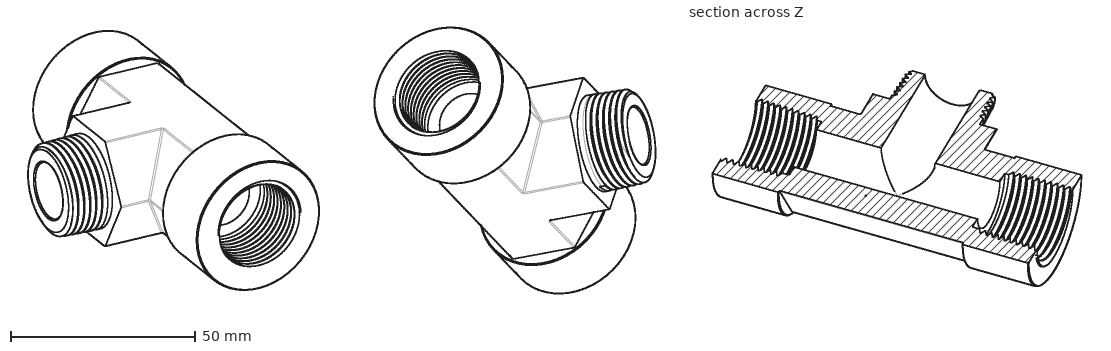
import cadquery as cq
import math

run_length = 93.0
collar_diameter = 38.0
collar_length = 19.5
collar_chamfer = 0.3
hex_across_flats = 31.7
hex_fillet = 0.5
hex_branch_length = 27.0
branch_reach = 39.57
bore_diameter = 15.8
bore_chamfer = 0.4

pitch = 1.81
taper_angle = math.degrees(math.atan(1 / 32))
groove_width = 0.95 * pitch
groove_overlap = 0.2

stub_diameter = 26.6
stub_tip_diameter = 23.1
stub_tip_chamfer_length = 1.2
neck_length = 1.6
male_groove_depth = 1.3
male_groove_start = 1.81

socket_mouth_diameter = 23.9
socket_depth = collar_length
female_groove_depth = 1.5
female_groove_lead = 0.6
female_groove_end_gap = 1.4

run_half = run_length / 2
hex_run_length = run_length - 2 * collar_length
hex_across_corners = hex_across_flats / math.cos(math.pi / 6)
taper = math.tan(math.radians(taper_angle))


def cylinder(plane, diameter, length):
    return cq.Workplane(plane).circle(diameter / 2).extrude(length)


def turned(profile):
    """Solid turned about Y; the profile is (radius, y) and is closed along the axis."""
    outline = [(0, profile[0][1])] + profile + [(0, profile[-1][1])]
    return cq.Workplane("XY").polyline(outline).close().revolve(360, (0, 0, 0), (0, 1, 0))


def hex_bar(plane, length):
    """Hexagonal bar with two of its corners on the local X axis."""
    return cq.Workplane(plane).polygon(6, hex_across_corners).extrude(length)


def thread_groove(plane, radius, length, depth, angle):
    """Right-handed helical V-groove along the plane normal, starting on the local X axis.

    radius is the open side of the V; a positive depth cuts outward and a negative one inward.
    """
    half_width = groove_width / 2
    overlap = math.copysign(groove_overlap, depth)
    open_half_width = half_width * (1 + groove_overlap / abs(depth))
    open_half_width = min(open_half_width, 0.49 * pitch)
    helix = cq.Wire.makeHelix(pitch, length, radius, angle=angle)
    groove = (
        cq.Workplane("XZ")
        .polyline([
            (radius - overlap, -open_half_width),
            (radius - overlap, open_half_width),
            (radius + depth, 0),
        ])
        .close()
        .sweep(cq.Workplane(helix), isFrenet=True)
    )
    return cq.Workplane(groove.val().moved(cq.Location(plane)))


def body():
    run = hex_bar(cq.Plane((-hex_run_length / 2, 0, 0), (0, 1, 0), (1, 0, 0)), hex_run_length)
    branch = hex_bar(cq.Plane((0, 0, 0), (1, 0, 0), (0, -1, 0)), hex_branch_length)
    tee = run.union(branch)
    valley_zone = cq.selectors.BoxSelector(
        (-hex_across_corners / 2, -hex_across_corners / 2, -hex_across_flats / 2),
        (hex_across_corners / 2, 0, hex_across_flats / 2),
    )
    valleys = tee.edges("not(|X or |Y or |Z)").edges(valley_zone)
    tee = valleys.fillet(hex_fillet)
    long_edges = tee.edges("|X or |Y").edges("not(<X or >X or <Y)")
    tee = long_edges.fillet(hex_fillet)
    for side in (-1, 1):
        mouth = cq.Plane((side * run_half, 0, 0), (0, -1, 0), (-side, 0, 0))
        collar = cylinder(mouth, collar_diameter, collar_length).faces("<X or >X").chamfer(collar_chamfer)
        tee = tee.union(collar)
    return tee


def male_stub():
    """Threaded stub: a grooved taper, trimmed to length with a chamfered tip."""
    stub_radius = stub_diameter / 2
    neck_end = hex_branch_length + neck_length
    blank_end = branch_reach + pitch
    blank = turned([
        (stub_radius, 0),
        (stub_radius, -neck_end),
        (stub_radius - taper * (blank_end - neck_end), -blank_end),
    ])
    start = hex_branch_length + male_groove_start
    groove_plane = cq.Plane((0, -start, 0), (0, 0, -1), (0, -1, 0))
    groove_length = branch_reach - start + pitch / 2
    groove = thread_groove(groove_plane, stub_radius, groove_length, -male_groove_depth, -taper_angle)
    envelope = turned([
        (stub_radius + 0.9, 0),
        (stub_radius + 0.9, stub_tip_chamfer_length - branch_reach),
        (stub_radius, stub_tip_chamfer_length - branch_reach),
        (stub_tip_diameter / 2, -branch_reach),
    ])
    return blank.cut(groove).intersect(envelope)


def socket(side):
    """Tapered threaded socket to be cut from one end of the run."""
    mouth = cq.Plane((side * run_half, 0, 0), (0, -1, 0), (-side, 0, 0))
    bottom_radius = socket_mouth_diameter / 2 - taper * socket_depth
    bore = (
        cq.Workplane(mouth)
        .circle(socket_mouth_diameter / 2)
        .workplane(offset=socket_depth)
        .circle(bottom_radius)
        .loft(ruled=True)
    )
    start = cq.Plane(mouth.toWorldCoords((0, 0, -female_groove_lead)), mouth.xDir, mouth.zDir)
    length = socket_depth + female_groove_lead - female_groove_end_gap
    return bore, thread_groove(start, socket_mouth_diameter / 2, length, female_groove_depth, -taper_angle)


result = body().union(male_stub())

run_bore = cylinder(cq.Plane((-run_half, 0, 0), (0, 1, 0), (1, 0, 0)), bore_diameter, run_length)
branch_bore = cylinder(cq.Plane((0, 0, 0), (1, 0, 0), (0, -1, 0)), bore_diameter, branch_reach)
branch_countersink = (
    cq.Workplane(cq.Plane((0, -branch_reach, 0), (1, 0, 0), (0, 1, 0)))
    .circle(bore_diameter / 2 + bore_chamfer)
    .workplane(offset=bore_chamfer)
    .circle(bore_diameter / 2)
    .loft(ruled=True)
)
result = result.cut(run_bore).cut(branch_bore).cut(branch_countersink)

for end in (-1, 1):
    for tool in socket(end):
        result = result.cut(tool)